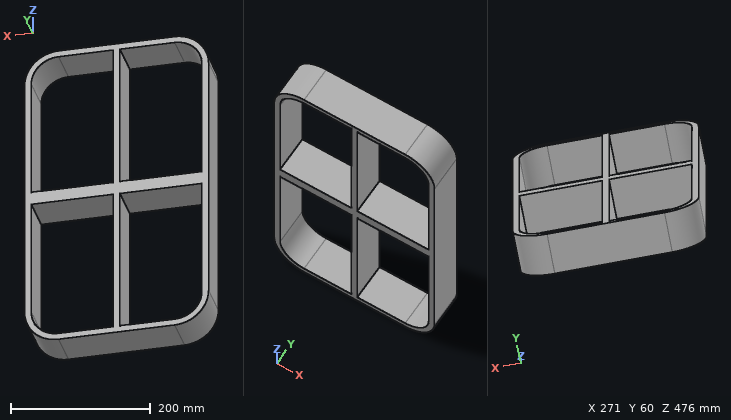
import cadquery as cq

width = 271.0
depth = 60.0
height = 476.0

rim = 10.0
outer_radius = 50.0
inner_radius = outer_radius - rim
upright_width = rim
crossbar_height = 2 * rim


def rounded_block(size_x, size_z, radius):
    """Block of full depth, centred on the origin, with its corners rounded about Y."""
    return cq.Workplane("XY").box(size_x, depth, size_z).edges("|Y").fillet(radius)


opening = rounded_block(width - 2 * rim, height - 2 * rim, inner_radius)
frame = rounded_block(width, height, outer_radius).cut(opening)

upright = cq.Workplane("XY").box(upright_width, depth, height - rim)
crossbar = cq.Workplane("XY").box(width - rim, depth, crossbar_height)

result = frame.union(upright).union(crossbar)